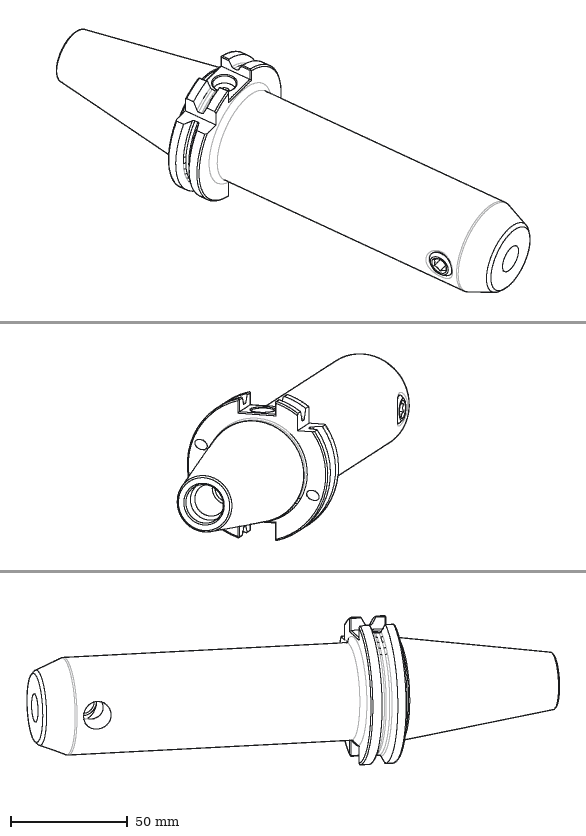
import cadquery as cq
import math


length = 228.5
overcut = 2.3

taper_ratio = 7 / 24
gauge_x = 68.5
gauge_diameter = 44.5
gauge_radius = gauge_diameter / 2
small_end_radius = gauge_radius - gauge_x * taper_ratio / 2
small_end_chamfer = 0.7

relief_depth = 0.2
relief_radius = gauge_radius - relief_depth
relief_slope_length = 0.5
relief_fillet = 0.7

flange_start = 71.7
flange_width = 16.0
flange_end = flange_start + flange_width
flange_radius = 31.7
flange_chamfer = 0.7

groove_x = 79.5
groove_floor_radius = 28.0
groove_half_width = 1.4
groove_half_angle = math.radians(30)
groove_fillet = 1.03

slot_width = 16.2
top_slot_floor = 25.0
bottom_slot_floor = 22.8
slot_chamfer = 0.57

notch_y = 18.3
notch_z = 18.5

chip_radius = 5.0
chip_depth = 4.5
chip_chamfer = 0.5
chip_pilot_radius = 2.0
chip_pilot_depth = 1.1
drill_tip_angle = math.radians(118)

coolant_radius = 2.0
coolant_pitch_radius = 27.0
coolant_angle = 20.4
coolant_tilt = 45
coolant_depth = 10.3

body_radius = 21.0
body_fillet = 2.5
nose_start = 215.2
nose_fillet = 2.0
tip_radius = 16.2
tip_chamfer = 1.4

bore_diameter = 12.0
bore_radius = bore_diameter / 2
thread_diameter = 14.0
thread_radius = thread_diameter / 2
thread_end = 32.0
counterbore_radius = 8.5
counterbore_depth = 6.9
mouth_chamfer = 0.7

screw_x = 205.8
screw_diameter = 12.0
screw_radius = screw_diameter / 2
screw_tip_y = -5.0
screw_length = 16.0
screw_chamfer = 1.4
socket_width = 6.0
socket_depth = 6.0
socket_countersink_radius = 3.9
hole_fillet = 1.0


def revolve_about_x(profile):
    return profile.close().revolve(360, (0, 0, 0), (1, 0, 0))


def box_between(x0, x1, y0, y1, z0, z1):
    return cq.Workplane("XY").box(x1 - x0, y1 - y0, z1 - z0, centered=False).translate((x0, y0, z0))


def make_taper():
    chamfer_end_radius = small_end_radius + small_end_chamfer * taper_ratio / 2
    relief_x = gauge_x + relief_slope_length
    profile = (
        cq.Workplane("XZ")
        .lineTo(0, small_end_radius - small_end_chamfer)
        .lineTo(small_end_chamfer, chamfer_end_radius)
        .lineTo(gauge_x, gauge_radius)
        .lineTo(relief_x, relief_radius)
        .lineTo(flange_start - relief_fillet, relief_radius)
        .radiusArc((flange_start, relief_radius + relief_fillet), -relief_fillet)
        .lineTo(flange_start, 0)
    )
    return revolve_about_x(profile)


def make_body():
    tip_x = length - tip_chamfer
    nose_angle = math.atan2(body_radius - tip_radius, tip_x - nose_start)
    tangent = nose_fillet * math.tan(nose_angle / 2)
    nose_fillet_end = (
        nose_start + tangent * math.cos(nose_angle),
        body_radius - tangent * math.sin(nose_angle),
    )
    profile = (
        cq.Workplane("XZ")
        .moveTo(flange_end, 0)
        .lineTo(flange_end, body_radius + body_fillet)
        .radiusArc((flange_end + body_fillet, body_radius), -body_fillet)
        .lineTo(nose_start - tangent, body_radius)
        .radiusArc(nose_fillet_end, nose_fillet)
        .lineTo(tip_x, tip_radius)
        .lineTo(length, tip_radius - tip_chamfer)
        .lineTo(length, 0)
    )
    return revolve_about_x(profile)


def make_flange():
    disc = (
        cq.Workplane("YZ", origin=(flange_start, 0, 0))
        .circle(flange_radius)
        .extrude(flange_width)
        .edges()
        .chamfer(flange_chamfer)
    )
    return disc.cut(v_groove()).cut(orientation_notch())


def v_groove():
    flank = math.tan(groove_half_angle)
    outer_radius = flange_radius + overcut
    mouth_half_width = groove_half_width + (outer_radius - groove_floor_radius) * flank
    tangent = groove_fillet * math.tan((math.pi / 2 - groove_half_angle) / 2)
    floor_half_width = groove_half_width - tangent
    flank_half_width = groove_half_width + tangent * math.sin(groove_half_angle)
    flank_radius = groove_floor_radius + tangent * math.cos(groove_half_angle)
    profile = (
        cq.Workplane("XZ")
        .moveTo(groove_x - mouth_half_width, outer_radius)
        .lineTo(groove_x - flank_half_width, flank_radius)
        .radiusArc((groove_x - floor_half_width, groove_floor_radius), -groove_fillet)
        .lineTo(groove_x + floor_half_width, groove_floor_radius)
        .radiusArc((groove_x + flank_half_width, flank_radius), -groove_fillet)
        .lineTo(groove_x + mouth_half_width, outer_radius)
    )
    return revolve_about_x(profile)


def drive_slot(floor_z):
    """Slot open towards +Z, chamfered all round and running on through the body fillet."""
    half = slot_width / 2
    reach = flange_radius + overcut
    rim_z = math.sqrt(flange_radius**2 - half**2)
    flare = reach - rim_z + slot_chamfer
    slot = (
        cq.Workplane("YZ", origin=(flange_start, 0, 0))
        .moveTo(-half, floor_z)
        .lineTo(half, floor_z)
        .lineTo(half, rim_z - slot_chamfer)
        .lineTo(half + flare, reach)
        .lineTo(-half - flare, reach)
        .lineTo(-half, rim_z - slot_chamfer)
        .close()
        .extrude(flange_width + body_fillet)
    )
    for face_x, inward in ((flange_start, 1), (flange_end, -1)):
        slot = slot.union(slot_end_chamfer(face_x, inward, floor_z))
    return slot


def slot_end_chamfer(face_x, inward, floor_z):
    """Wedge that widens the slot by its chamfer at one flange face."""
    height = flange_radius + overcut - floor_z
    return (
        cq.Workplane("YZ", origin=(face_x, 0, floor_z + height / 2))
        .rect(slot_width + 2 * slot_chamfer, height + 2 * slot_chamfer)
        .extrude(inward * slot_chamfer, taper=45)
    )


def drive_slots():
    top = drive_slot(top_slot_floor)
    bottom = drive_slot(bottom_slot_floor).rotate((0, 0, 0), (1, 0, 0), 180)
    return top.union(bottom)


def orientation_notch():
    reach = flange_radius + overcut
    return box_between(flange_start, flange_end, -reach, -notch_y, notch_z, reach)


def chip_pocket():
    pocket_floor = top_slot_floor - chip_depth
    pilot_floor = pocket_floor - chip_pilot_depth
    tip_z = pilot_floor - chip_pilot_radius / math.tan(drill_tip_angle / 2)
    return (
        cq.Workplane("XZ")
        .moveTo(0, top_slot_floor)
        .lineTo(chip_radius + chip_chamfer, top_slot_floor)
        .lineTo(chip_radius, top_slot_floor - chip_chamfer)
        .lineTo(chip_radius, pocket_floor)
        .lineTo(chip_pilot_radius, pocket_floor)
        .lineTo(chip_pilot_radius, pilot_floor)
        .lineTo(0, tip_z)
        .close()
        .revolve(360, (0, 0, 0), (0, 1, 0))
        .translate((groove_x, 0, 0))
    )


def coolant_holes():
    hole = (
        cq.Workplane("YZ", origin=(-overcut, 0, 0))
        .circle(coolant_radius)
        .extrude(coolant_depth + overcut)
        .rotate((0, 0, 0), (0, 0, 1), -coolant_tilt)
        .translate((flange_start, coolant_pitch_radius, 0))
        .rotate((0, 0, 0), (1, 0, 0), coolant_angle)
    )
    return hole.union(hole.rotate((0, 0, 0), (1, 0, 0), 180))


def axial_bore():
    step = thread_radius - bore_radius
    profile = (
        cq.Workplane("XZ")
        .lineTo(0, counterbore_radius + mouth_chamfer)
        .lineTo(mouth_chamfer, counterbore_radius)
        .lineTo(counterbore_depth, counterbore_radius)
        .lineTo(counterbore_depth + counterbore_radius - thread_radius, thread_radius)
        .lineTo(thread_end, thread_radius)
        .lineTo(thread_end + step, bore_radius)
        .lineTo(length, bore_radius)
        .lineTo(length, 0)
    )
    return revolve_about_x(profile)


def screw_hole():
    return (
        cq.Workplane("XZ", origin=(screw_x, body_radius, 0))
        .circle(screw_radius)
        .extrude(2 * body_radius)
    )


def screw_hole_rim():
    """Selects the edges where the screw hole opens at -Y."""
    half = screw_radius + hole_fillet
    return cq.selectors.BoxSelector(
        (screw_x - half, -body_radius - overcut, -half),
        (screw_x + half, -body_radius / 2, half),
    )


def make_holder():
    body = make_body().cut(screw_hole())
    body = body.edges(screw_hole_rim()).fillet(hole_fillet)
    holder = make_taper().union(make_flange()).union(body)
    for cutter in (drive_slots(), chip_pocket(), coolant_holes(), axial_bore()):
        holder = holder.cut(cutter)
    return holder


def make_screw():
    shank = (
        cq.Workplane("XZ", origin=(screw_x, screw_tip_y, 0))
        .circle(screw_radius)
        .extrude(screw_length)
        .edges()
        .chamfer(screw_chamfer)
    )
    socket_plane = cq.Workplane("XZ", origin=(screw_x, screw_tip_y - screw_length, 0))
    socket = socket_plane.polygon(6, socket_width, circumscribed=True).extrude(-socket_depth)
    countersink = socket_plane.circle(socket_countersink_radius).extrude(
        -socket_countersink_radius, taper=45
    )
    return shank.cut(socket).cut(countersink)


holder = make_holder()
screw = make_screw()
result = cq.Compound.makeCompound([holder.val(), screw.val()])